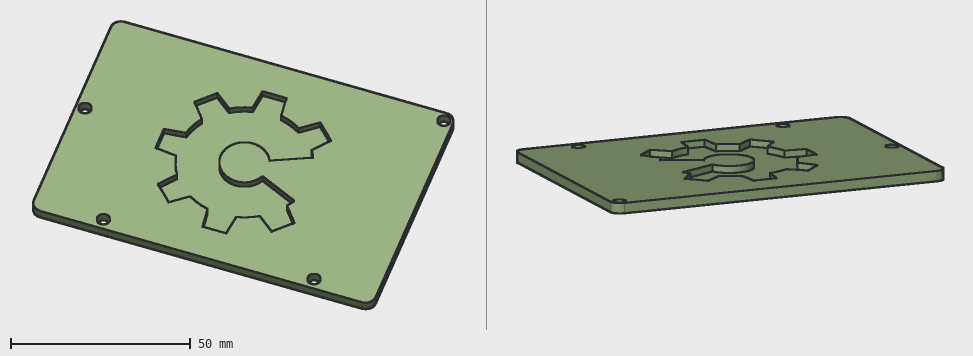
import cadquery as cq
import math

LENGTH = 101.0
WIDTH = 70.0
THICKNESS = 3.0
CORNER_RADIUS = 3.0

HOLE_DIAMETER = 3.6
EDGE_INSET = 2.7
BOTTOM_INSET = 3.2
LEFT_HOLE_Y = 3.0
BOTTOM_HOLE_XS = (-30.0, 32.2)
HOLE_CENTRES = [
    (LENGTH / 2 - EDGE_INSET, WIDTH / 2 - EDGE_INSET),
    (-LENGTH / 2 + EDGE_INSET, LEFT_HOLE_Y),
] + [(x, -WIDTH / 2 + BOTTOM_INSET) for x in BOTTOM_HOLE_XS]

GEAR_X = 0.35
GEAR_Y = 0.0
POCKET_DEPTH = 2.0
TIP_DISTANCE = 25.0
TIP_HALF_WIDTH = 3.5
ROOT_RADIUS = 19.2
ROOT_HALF_WIDTH = 4.2
HUB_RADIUS = 7.0
MOUTH_HALF_ANGLE = 24.5
TOOTH_PITCH = 45
TOOTH_ANGLES = range(TOOTH_PITCH, 360, TOOTH_PITCH)


def polar(radius, angle):
    """Point at the given radius and angle in degrees."""
    a = math.radians(angle)
    return (radius * math.cos(a), radius * math.sin(a))


def tooth_tip(angle, side):
    """Tip corner of a tooth; side is -1 for the clockwise corner and 1 for the other."""
    radius = math.hypot(TIP_DISTANCE, TIP_HALF_WIDTH)
    half_angle = math.degrees(math.atan2(TIP_HALF_WIDTH, TIP_DISTANCE))
    return polar(radius, angle + side * half_angle)


def make_plate():
    plate = cq.Workplane("XY").box(LENGTH, WIDTH, THICKNESS, centered=(True, True, False))
    return plate.edges("|Z").fillet(CORNER_RADIUS)


def make_holes():
    return cq.Workplane("XY").pushPoints(HOLE_CENTRES).circle(HOLE_DIAMETER / 2).extrude(THICKNESS)


def make_gear_pocket():
    root_half_angle = math.degrees(math.asin(ROOT_HALF_WIDTH / ROOT_RADIUS))
    mouth_end = 360 - MOUTH_HALF_ANGLE
    floor = cq.Workplane("XY", origin=(GEAR_X, GEAR_Y, THICKNESS - POCKET_DEPTH))
    outline = floor.moveTo(*polar(HUB_RADIUS, MOUTH_HALF_ANGLE))
    outline = outline.lineTo(*polar(ROOT_RADIUS, MOUTH_HALF_ANGLE))

    arc_start = MOUTH_HALF_ANGLE
    for angle in TOOTH_ANGLES:
        arc_end = angle - root_half_angle
        outline = outline.threePointArc(
            polar(ROOT_RADIUS, (arc_start + arc_end) / 2), polar(ROOT_RADIUS, arc_end)
        )
        arc_start = angle + root_half_angle
        outline = outline.lineTo(*tooth_tip(angle, -1))
        outline = outline.lineTo(*tooth_tip(angle, 1))
        outline = outline.lineTo(*polar(ROOT_RADIUS, arc_start))

    outline = outline.threePointArc(
        polar(ROOT_RADIUS, (arc_start + mouth_end) / 2), polar(ROOT_RADIUS, mouth_end)
    )
    outline = outline.lineTo(*polar(HUB_RADIUS, mouth_end))
    outline = outline.threePointArc(polar(HUB_RADIUS, 180), polar(HUB_RADIUS, MOUTH_HALF_ANGLE))
    return outline.close().extrude(POCKET_DEPTH)


result = make_plate().cut(make_holes()).cut(make_gear_pocket())